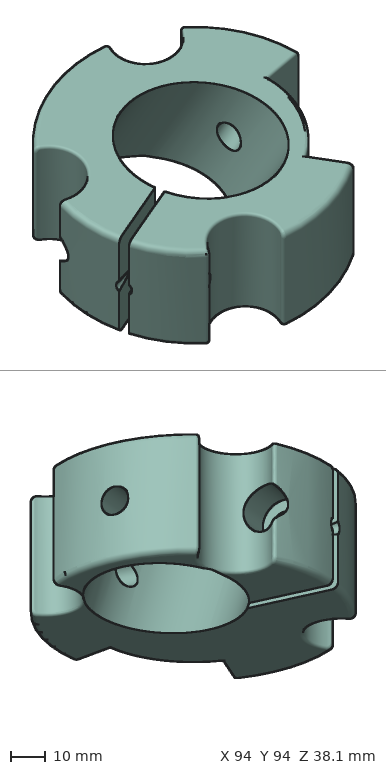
import cadquery as cq
import math

NEARLY_PARALLEL = 0.99

outer_radius = 47.0
height = 38.1
rim_fillet = 2.0
edge_fillet = 0.9

notch_radius = 11.0
notch_offset = 31.5
notch_angles = (135, 225, 315)
pocket_floor_radius = 32.8
pocket_middle_angle = 45
pocket_span_angle = 62

bore_radius = 23.4
bore_tilt = 25.3
bore_middle_x = -7.2

slit_width = 3.1
screw_y = -35.3
screw_diameter = 6.8
screw_head_diameter = 14.3
screw_head_seat_x = -9.4

side_hole_diameter = 8.8
slit_dimple_diameter = 5.1
slit_dimple_depth = 18.8


def polar(radius, angle):
    """Point at the given radius and angle in degrees."""
    return (radius * math.cos(math.radians(angle)), radius * math.sin(math.radians(angle)))


def cylinder(diameter, length, start, direction):
    return cq.Workplane(cq.Solid.makeCylinder(diameter / 2, length, cq.Vector(*start), cq.Vector(*direction)))


def make_disc():
    disc = cq.Workplane("XY").circle(outer_radius).extrude(height / 2, both=True)
    return disc.edges("%CIRCLE").fillet(rim_fillet)


def make_notches():
    notches = cq.Workplane("XY").pushPoints([polar(notch_offset * math.sqrt(2), a) for a in notch_angles])
    return notches.circle(notch_radius).extrude(height / 2, both=True)


def make_pocket():
    start = pocket_middle_angle - pocket_span_angle / 2
    end = pocket_middle_angle + pocket_span_angle / 2
    beyond = 2 * outer_radius
    return (
        cq.Workplane("XY")
        .moveTo(*polar(pocket_floor_radius, start))
        .threePointArc(
            polar(pocket_floor_radius, pocket_middle_angle),
            polar(pocket_floor_radius, end),
        )
        .lineTo(*polar(beyond, end))
        .lineTo(*polar(beyond, start))
        .close()
        .extrude(height / 2, both=True)
    )


def round_cut_edges(body):
    """Round the notch and pocket edges, leaving the pocket's inside corners and the rim as they are."""
    inside_radius = pocket_floor_radius + edge_fillet

    def is_inside_corner(edge):
        if edge.geomType() != "LINE":
            return False
        middle = edge.Center()
        upright = abs(edge.tangentAt(0).z) > NEARLY_PARALLEL
        return upright and math.hypot(middle.x, middle.y) < inside_radius

    def is_rim(edge):
        if edge.geomType() != "CIRCLE":
            return False
        centre = edge.arcCenter()
        on_axis = math.hypot(centre.x, centre.y) < edge_fillet
        flat = abs(edge.normal().z) > NEARLY_PARALLEL
        return on_axis and flat and edge.radius() > inside_radius

    edges = [e for e in body.edges().vals() if not is_inside_corner(e) and not is_rim(e)]
    return body.newObject(edges).fillet(edge_fillet)


def make_bore():
    tilt = math.radians(bore_tilt)
    axis = cq.Vector(math.sin(tilt), 0, math.cos(tilt))
    length = 3 * height
    start = cq.Vector(bore_middle_x, 0, 0) - axis * (length / 2)
    return cylinder(2 * bore_radius, length, start.toTuple(), axis.toTuple())


def make_slit():
    return cq.Workplane("XY").box(slit_width, outer_radius, height, centered=(True, False, True)).translate(
        (0, -outer_radius, 0)
    )


def make_screw_hole():
    shank = cylinder(screw_diameter, 2 * outer_radius, (-outer_radius, screw_y, 0), (1, 0, 0))
    head_length = outer_radius + screw_head_seat_x
    head = cylinder(screw_head_diameter, head_length, (-outer_radius, screw_y, 0), (1, 0, 0))
    return shank.union(head)


def make_radial_hole(diameter, direction):
    return cylinder(diameter, outer_radius, (0, 0, 0), direction)


def make_slit_dimple():
    """Cone narrowing from the rim to a point inside the wall."""
    return cq.Workplane(
        cq.Solid.makeCone(
            slit_dimple_diameter / 2, 0, slit_dimple_depth, cq.Vector(0, -outer_radius, 0), cq.Vector(0, 1, 0)
        )
    )


body = make_disc().cut(make_notches()).cut(make_pocket())
body = round_cut_edges(body)
body = body.cut(make_bore()).cut(make_slit()).cut(make_screw_hole())
body = body.cut(make_radial_hole(side_hole_diameter, (-1, 0, 0)))
body = body.cut(make_radial_hole(side_hole_diameter, (0, 1, 0)))
result = body.cut(make_slit_dimple())